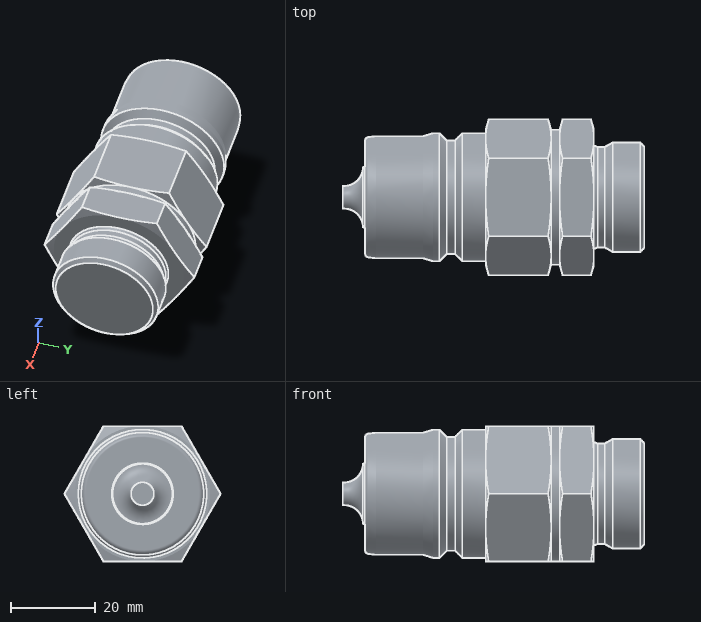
import cadquery as cq
import math

nose_land_end = 0.3
nose_flare_end = 4.8
plug_face = 5.3
plug_round_end = 6.1
plug_taper_end = 7.85
plug_end = 19.0
rim_start = 21.4
rim_end = 22.9
groove_start = 24.6
groove_end = 26.6
shank_start = 28.3
body_hex_start = 33.8
body_hex_end = 49.25
lock_hex_start = 51.25
lock_hex_end = 59.4
neck_start = 60.25
neck_end = 61.95
spigot_start = 63.8
overall_length = 71.3

nose_radius = 2.7
nose_flare_radius = 7.05
nose_base_radius = 7.3
plug_face_radius = 13.25
plug_round_radius = 14.25
plug_radius = 14.5
rim_radius = 15.2
groove_radius = 13.5
neck_radius = 11.9
neck_root_radius = 12.25
spigot_radius = 13.0
spigot_chamfer = 1.0

hex_flats = 32.0
hex_corner_radius = hex_flats / math.sqrt(3)
hex_face_radius = hex_flats / 2
hex_chamfer_depth = 0.7


def arc_middle(start, end, fraction):
    """Midpoint of a shallow arc whose sagitta, toward -X and +radius, is a fraction of its chord."""
    dx = end[0] - start[0]
    dr = end[1] - start[1]
    mid_x = (start[0] + end[0]) / 2
    mid_r = (start[1] + end[1]) / 2
    return (mid_x - dr * fraction, mid_r + dx * fraction)


def turned_body():
    """Solid of revolution about X: nose, plug, groove, shank, collar, neck and spigot."""
    flare_start = (nose_land_end, nose_radius)
    flare_end = (nose_flare_end, nose_flare_radius)
    round_start = (plug_face, plug_face_radius)
    round_end = (plug_round_end, plug_round_radius)
    quarter_sagitta = math.tan(math.pi / 8) / 2
    profile = (
        cq.Workplane("XY")
        .lineTo(0, nose_radius)
        .lineTo(*flare_start)
        .threePointArc(arc_middle(flare_start, flare_end, -quarter_sagitta), flare_end)
        .lineTo(plug_face, nose_base_radius)
        .lineTo(*round_start)
        .threePointArc(arc_middle(round_start, round_end, quarter_sagitta), round_end)
        .lineTo(plug_taper_end, plug_radius)
        .lineTo(plug_end, plug_radius)
        .lineTo(rim_start, rim_radius)
        .lineTo(rim_end, rim_radius)
        .lineTo(groove_start, groove_radius)
        .lineTo(groove_end, groove_radius)
        .lineTo(shank_start, rim_radius)
        .lineTo(body_hex_start, rim_radius)
        .lineTo(body_hex_start, hex_face_radius)
        .lineTo(lock_hex_end, hex_face_radius)
        .lineTo(lock_hex_end, neck_root_radius)
        .lineTo(neck_start, neck_radius)
        .lineTo(neck_end, neck_radius)
        .lineTo(spigot_start, spigot_radius)
        .lineTo(overall_length - spigot_chamfer, spigot_radius)
        .lineTo(overall_length, spigot_radius - spigot_chamfer)
        .lineTo(overall_length, 0)
        .close()
    )
    return profile.revolve(360, (0, 0, 0), (1, 0, 0))


def hexagon(start, end):
    """Hexagon along X with corners on +/-Y, its corners chamfered by a cone at each end."""
    prism = (
        cq.Workplane("YZ", origin=(start, 0, 0))
        .polygon(6, 2 * hex_corner_radius)
        .extrude(end - start)
    )
    envelope = (
        cq.Workplane("XY")
        .moveTo(start, 0)
        .lineTo(start, hex_face_radius)
        .lineTo(start + hex_chamfer_depth, hex_corner_radius)
        .lineTo(end - hex_chamfer_depth, hex_corner_radius)
        .lineTo(end, hex_face_radius)
        .lineTo(end, 0)
        .close()
        .revolve(360, (0, 0, 0), (1, 0, 0))
    )
    return prism.intersect(envelope)


result = turned_body()
for hex_start, hex_end in ((body_hex_start, body_hex_end), (lock_hex_start, lock_hex_end)):
    result = result.union(hexagon(hex_start, hex_end))